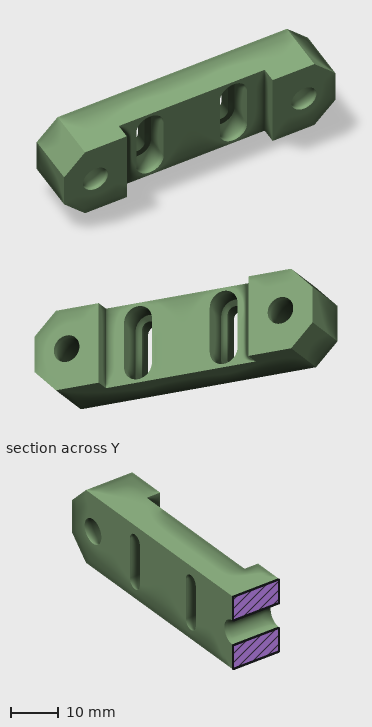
import cadquery as cq

thickness = 12.0
length = 65.0
height = 18.0
corner_chamfer = 5.0

recess_length = 35.0
recess_depth = 3.5

hole_diameter = 6.0
hole_spacing = 50.0
slot_width = 3.5
slot_length = 13.5
slot_spacing = 20.0

slot_margin = 1.5
slot_lip = 3.0


def make_block():
    """Rectangular bar with its four corner edges along X chamfered."""
    block = cq.Workplane("XY").box(thickness, length, height)
    return block.faces("<Y or >Y").edges("|X").chamfer(corner_chamfer)


def make_recess():
    """Full-height channel cut into the middle of the +X face."""
    recess_center_x = (thickness - recess_depth) / 2
    recess = cq.Workplane("XY").box(recess_depth, recess_length, height)
    return recess.translate((recess_center_x, 0, 0))


def mirrored_pair(spacing):
    """Two points at equal distances either side of the middle, in the YZ plane."""
    return cq.Workplane("YZ").pushPoints([(-spacing / 2, 0), (spacing / 2, 0)])


def make_holes():
    """Round mounting holes near both ends."""
    return mirrored_pair(hole_spacing).circle(hole_diameter / 2).extrude(thickness, both=True)


def make_slots(margin=0):
    """Upright round-ended slots through the bar, widened all round by margin."""
    slots = mirrored_pair(slot_spacing).slot2D(slot_length + 2 * margin, slot_width + 2 * margin, angle=90)
    return slots.extrude(thickness, both=True)


def make_slot_counterbores():
    """Widened slots that stop short of the -X face, leaving a lip."""
    lip = cq.Workplane("XY").box(slot_lip, length, height)
    lip = lip.translate(((slot_lip - thickness) / 2, 0, 0))
    return make_slots(slot_margin).intersect(make_block()).cut(lip)


result = make_block().cut(make_recess()).cut(make_holes())
result = result.cut(make_slots()).cut(make_slot_counterbores())